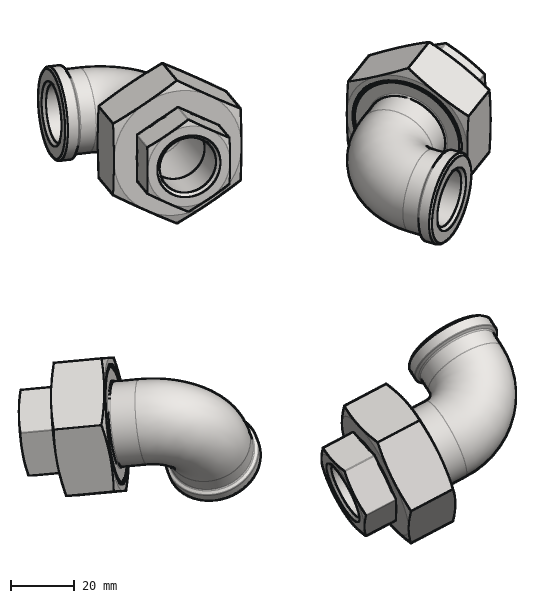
import cadquery as cq
import math


PIPE_R = 13.5
BEND_R = 17.55
PASSAGE_R = 11.0
BORE_R = 9.25
BORE_DEPTH = 13.1
MOUTH_R = 10.4
MOUTH_DEPTH = 1.1

COLLAR_R = 14.95
COLLAR_LENGTH = 4.4
COLLAR_CHAMFER = 0.7
COLLAR_BACK_TAPER = 25
COLLAR_EDGE_FILLET = 0.3
COLLAR_ROOT_FILLET = 0.5

NUT_FLATS = 42.0
NUT_START = 25.95
NUT_END = 42.95
NUT_HOLE_R = 19.0

RING_R = 18.65
RING_CHAMFER = 0.5
RING_RECESS = 0.1
RING_FILLET = 0.5
GAP_DEPTH = 1.0

HEX_FLATS = 27.1
NUT_GAP = 0.2
HEX_START = NUT_END + NUT_GAP
HEX_EDGE_FILLET = 0.3

HEX_SIDES = 6
HEX_HALF_ANGLE = 180 / HEX_SIDES
HEX_CHAMFER_ANGLE = 15

OVERALL_X = 69.6
OVERALL_Y = 49.0
OUTLET_X = OVERALL_X - COLLAR_R
INLET_Y = NUT_FLATS / 2 - OVERALL_Y

DIAGONAL = math.sqrt(0.5)


def revolve_about_x(profile):
    """Revolve a closed XY outline about the outlet axis."""
    return profile.close().revolve(360, (0, 0, 0), (1, 0, 0))


def cylinder_along_x(radius, start, end):
    return cq.Workplane("YZ", origin=(start, 0, 0)).circle(radius).extrude(end - start)


def cylinder_along_y(radius, start, end):
    return cq.Workplane("ZX", origin=(0, start, 0)).circle(radius).extrude(end - start)


def hexagon(flats, start, end):
    """Hexagonal prism along X with two corners on the Z axis."""
    corner_diameter = flats / math.cos(math.radians(HEX_HALF_ANGLE))
    section = cq.Workplane("YZ", origin=(start, 0, 0)).transformed(rotate=(0, 0, 90))
    return section.polygon(HEX_SIDES, corner_diameter).extrude(end - start)


def corner_cone(flats, end, inward):
    """Solid of revolution that trims hexagon corners at one end.

    The cone meets the end face on the circle inscribed in the flats;
    inward is the X direction (+1 or -1) from that face into the hexagon.
    """
    flat_r = flats / 2
    depth = flats
    flare = depth * math.tan(math.radians(HEX_CHAMFER_ANGLE))
    outer_r = flat_r + depth
    profile = (
        cq.Workplane("XY")
        .moveTo(end, 0)
        .lineTo(end, flat_r)
        .lineTo(end + inward * flare, outer_r)
        .lineTo(end + inward * depth, outer_r)
        .lineTo(end + inward * depth, 0)
    )
    return revolve_about_x(profile)


def swept_elbow(radius, outlet_end):
    """Round bar along the inlet axis, round the bend and out to outlet_end."""
    inset = BEND_R * (1 - DIAGONAL)
    path = (
        cq.Workplane("XY")
        .moveTo(0, INLET_Y)
        .lineTo(0, -BEND_R)
        .threePointArc((inset, -inset), (BEND_R, 0))
        .lineTo(outlet_end, 0)
    )
    return cq.Workplane("XZ", origin=(0, INLET_Y, 0)).circle(radius).sweep(path)


def inlet_collar():
    """Collar with a chamfered mouth edge and a tapered back, on its length of straight pipe."""
    back_edge_y = INLET_Y + COLLAR_LENGTH
    taper_length = (COLLAR_R - PIPE_R) * math.tan(math.radians(COLLAR_BACK_TAPER))
    root_y = back_edge_y + taper_length
    collar = (
        cq.Workplane("XY")
        .moveTo(0, INLET_Y)
        .lineTo(COLLAR_R - COLLAR_CHAMFER, INLET_Y)
        .lineTo(COLLAR_R, INLET_Y + COLLAR_CHAMFER)
        .lineTo(COLLAR_R, back_edge_y)
        .lineTo(PIPE_R, root_y)
        .lineTo(PIPE_R, -BEND_R)
        .lineTo(0, -BEND_R)
        .close()
        .revolve(360, (0, 0, 0), (0, 1, 0))
    )
    back_edge = cq.NearestToPointSelector((0, back_edge_y, 0))
    root_edge = cq.NearestToPointSelector((0, root_y, 0))
    collar = collar.edges(back_edge).fillet(COLLAR_EDGE_FILLET)
    return collar.edges(root_edge).fillet(COLLAR_ROOT_FILLET)


def union_nut():
    """Hexagon nut with chamfered corners and a shallow opening round the ring."""
    nut = hexagon(NUT_FLATS, NUT_START, NUT_END)
    nut = nut.intersect(corner_cone(NUT_FLATS, NUT_START, 1))
    nut = nut.intersect(corner_cone(NUT_FLATS, NUT_END, -1))
    return nut.cut(cylinder_along_x(NUT_HOLE_R, NUT_START, NUT_START + GAP_DEPTH))


def seat_ring():
    """Chamfered ring inside the nut opening, filleted into the pipe."""
    face = NUT_START + RING_RECESS
    arc_offset = RING_FILLET * DIAGONAL
    root_x = face - RING_FILLET
    root_r = PIPE_R + RING_FILLET
    profile = (
        cq.Workplane("XY")
        .moveTo(root_x, 0)
        .lineTo(root_x, PIPE_R)
        .threePointArc((root_x + arc_offset, root_r - arc_offset), (face, root_r))
        .lineTo(face, RING_R - RING_CHAMFER)
        .lineTo(face + RING_CHAMFER, RING_R)
        .lineTo(NUT_START + GAP_DEPTH, RING_R)
        .lineTo(NUT_START + GAP_DEPTH, 0)
    )
    return revolve_about_x(profile)


def outlet_hexagon():
    """Outlet hexagon with softened edges and chamfered end corners."""
    body = hexagon(HEX_FLATS, HEX_START, OUTLET_X).edges("|X").fillet(HEX_EDGE_FILLET)
    return body.intersect(corner_cone(HEX_FLATS, OUTLET_X, -1))


def mouth_cone(plane, origin):
    """Lead-in cone that narrows from the mouth to the bore, along the plane normal."""
    return (
        cq.Workplane(plane, origin=origin)
        .circle(MOUTH_R)
        .workplane(offset=MOUTH_DEPTH)
        .circle(BORE_R)
        .loft()
    )


def wide_passage():
    """Passage concentric with the pipe, stopped at the inner end of each bore."""
    passage = swept_elbow(PASSAGE_R, OUTLET_X - BORE_DEPTH)
    return passage.cut(cylinder_along_y(PIPE_R, INLET_Y, INLET_Y + BORE_DEPTH))


result = swept_elbow(PIPE_R, HEX_START)
for section in (inlet_collar(), union_nut(), seat_ring(), outlet_hexagon()):
    result = result.union(section)

result = result.cut(wide_passage())
result = result.cut(cylinder_along_x(BORE_R, OUTLET_X - BORE_DEPTH, OUTLET_X))
result = result.cut(cylinder_along_y(BORE_R, INLET_Y, INLET_Y + BORE_DEPTH))
result = result.cut(mouth_cone("ZX", (0, INLET_Y, 0)))
result = result.cut(mouth_cone("ZY", (OUTLET_X, 0, 0)))